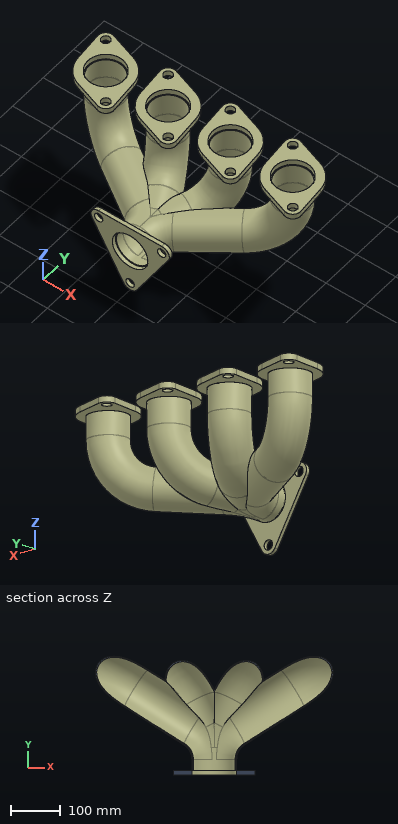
import cadquery as cq
import math


overall_length = 623

tube_outer_diameter = 90.5
tube_wall = 2.5
tube_outer_radius = tube_outer_diameter / 2
tube_inner_radius = tube_outer_radius - tube_wall
port_y = 227.0
port_face_z = 186.0
merge_y = 76.0
elbow_z = 24.0
merge_bend_radius = 80.0
elbow_bend_radius = 106

ear_radius = 20.0
bolt_hole_radius = 10.5
port_flange_thickness = 14.0
port_lobe_radius = 66.5
port_bolt_x = 53.0
port_bolt_y = 68.0
collector_flange_thickness = 10.0
collector_bolt_circle_radius = 93.0
collector_bolt_angles = [30, 150, 270]

port_count = 4
port_flange_width = 2 * (port_bolt_x + ear_radius)
port_pitch = (overall_length - port_flange_width) / (port_count - 1)
port_xs = [(i - (port_count - 1) / 2) * port_pitch for i in range(port_count)]


def runner_path(port_x):
    """Centre line of one runner: three straights joined by two tangent bends."""
    start = cq.Vector(0, collector_flange_thickness, 0)
    merge_corner = cq.Vector(0, merge_y, 0)
    elbow_corner = cq.Vector(port_x, port_y, elbow_z)
    end = cq.Vector(port_x, port_y, port_face_z - port_flange_thickness)

    def bend(before, corner, after, radius):
        """Start, middle and end points of an arc that rounds a corner."""
        back = (before - corner).normalized()
        ahead = (after - corner).normalized()
        half_angle = back.getAngle(ahead) / 2
        tangent_length = radius / math.tan(half_angle)
        centre_distance = radius / math.sin(half_angle)
        middle = corner + (back + ahead).normalized() * (centre_distance - radius)
        return corner + back * tangent_length, middle, corner + ahead * tangent_length

    merge_bend = bend(start, merge_corner, elbow_corner, merge_bend_radius)
    elbow_bend = bend(merge_corner, elbow_corner, end, elbow_bend_radius)
    return cq.Wire.assembleEdges([
        cq.Edge.makeLine(start, merge_bend[0]),
        cq.Edge.makeThreePointArc(*merge_bend),
        cq.Edge.makeLine(merge_bend[2], elbow_bend[0]),
        cq.Edge.makeThreePointArc(*elbow_bend),
        cq.Edge.makeLine(elbow_bend[2], end),
    ])


def joined_runners(radius):
    """All runners as one solid of round rods that merge at the collector."""
    mouth = cq.Workplane("XZ", origin=(0, collector_flange_thickness, 0))
    rods = [mouth.circle(radius).sweep(cq.Workplane(runner_path(x))) for x in port_xs]
    joined = rods[0]
    for rod in rods[1:]:
        joined = joined.union(rod)
    return joined


def make_manifold():
    return joined_runners(tube_outer_radius).cut(joined_runners(tube_inner_radius))


def hull_outline(workplane, discs):
    """Closed outline of arcs and tangent lines around discs (x, y, radius) listed anticlockwise."""
    count = len(discs)

    def disc_point(disc, angle):
        x, y, radius = disc
        return x + radius * math.cos(angle), y + radius * math.sin(angle)

    def tangent_angle(disc, following):
        """Direction of the outward normal of the line from one disc to the following one."""
        dx = following[0] - disc[0]
        dy = following[1] - disc[1]
        return math.atan2(dy, dx) - math.acos((disc[2] - following[2]) / math.hypot(dx, dy))

    normals = [tangent_angle(discs[i], discs[(i + 1) % count]) for i in range(count)]
    outline = workplane.moveTo(*disc_point(discs[0], normals[-1]))
    for i in range(count):
        turn = (normals[i] - normals[i - 1]) % (2 * math.pi)
        outline = outline.threePointArc(
            disc_point(discs[i], normals[i - 1] + turn / 2),
            disc_point(discs[i], normals[i]),
        )
        outline = outline.lineTo(*disc_point(discs[(i + 1) % count], normals[i]))
    return outline.close()


def make_port_flange(port_x):
    """Two-bolt flange on top of one runner."""
    base = cq.Workplane("XY", origin=(port_x, port_y, port_face_z - port_flange_thickness))
    bolts = [(-port_bolt_x, port_bolt_y), (port_bolt_x, -port_bolt_y)]
    lobe = (0, 0, port_lobe_radius)
    discs = [(*bolts[0], ear_radius), lobe, (*bolts[1], ear_radius), lobe]
    plate = hull_outline(base, discs).extrude(port_flange_thickness)
    bore = base.circle(tube_outer_radius).extrude(port_flange_thickness)
    holes = base.pushPoints(bolts).circle(bolt_hole_radius).extrude(port_flange_thickness)
    return plate.cut(bore).cut(holes)


def make_collector_flange():
    """Three-bolt triangular flange, pointing down, at the collector mouth."""
    base = cq.Workplane("XZ", origin=(0, collector_flange_thickness, 0))
    bolts = [
        (
            collector_bolt_circle_radius * math.cos(math.radians(angle)),
            collector_bolt_circle_radius * math.sin(math.radians(angle)),
        )
        for angle in collector_bolt_angles
    ]
    plate = hull_outline(base, [(*bolt, ear_radius) for bolt in bolts]).extrude(collector_flange_thickness)
    bore = base.circle(tube_outer_radius).extrude(collector_flange_thickness)
    holes = base.pushPoints(bolts).circle(bolt_hole_radius).extrude(collector_flange_thickness)
    return plate.cut(bore).cut(holes)


manifold = make_manifold()
port_flanges = [make_port_flange(x) for x in port_xs]
collector_flange = make_collector_flange()

result = cq.Compound.makeCompound([
    manifold.val(),
    *[flange.val() for flange in port_flanges],
    collector_flange.val(),
])